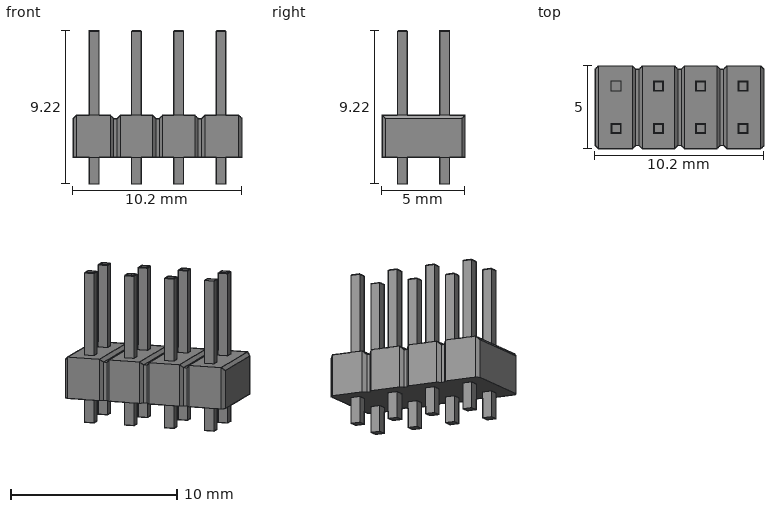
import cadquery as cq

columns = 4
rows = 2
pitch = 2.54
body_depth = 5.0
body_height = 2.54
bevel = 0.2
groove_floor = 0.2
pin_width = 0.6
pin_above = 5.08
pin_below = 1.6
tip_chamfer = 0.05

body_length = columns * pitch
web_depth = body_depth - 2 * bevel
web_height = body_height - bevel


def column_x(column):
    return (column - (columns - 1) / 2) * pitch


def row_y(row):
    return (row - (rows - 1) / 2) * pitch


def block_ends(column):
    """Left and right ends of a block; only inner ends give way to a groove."""
    left = column_x(column) - pitch / 2
    right = column_x(column) + pitch / 2
    if column > 0:
        left += groove_floor / 2
    if column < columns - 1:
        right -= groove_floor / 2
    return left, right


def make_block(column):
    """One block with bevelled top end edges and vertical corners."""
    left, right = block_ends(column)
    block = cq.Workplane("XY").box(right - left, body_depth, body_height, centered=(False, True, False))
    end_edges = block.edges("|Z or (|Y and >Z)")
    return end_edges.chamfer(bevel).translate((left, 0, 0))


def make_pin(column, row):
    """Square pin through the body; the pin at the first column, back row has a plain tip."""
    pin = cq.Workplane("XY").box(
        pin_width, pin_width, pin_below + body_height + pin_above, centered=(True, True, False)
    )
    is_plain = column == 0 and row == rows - 1
    if not is_plain:
        pin = pin.faces(">Z").chamfer(tip_chamfer)
    return pin.translate((column_x(column), row_y(row), -pin_below))


web_length = body_length - pitch
result = cq.Workplane("XY").box(web_length, web_depth, web_height, centered=(True, True, False))

for column in range(columns):
    result = result.union(make_block(column))

for column in range(columns):
    for row in range(rows):
        result = result.union(make_pin(column, row))